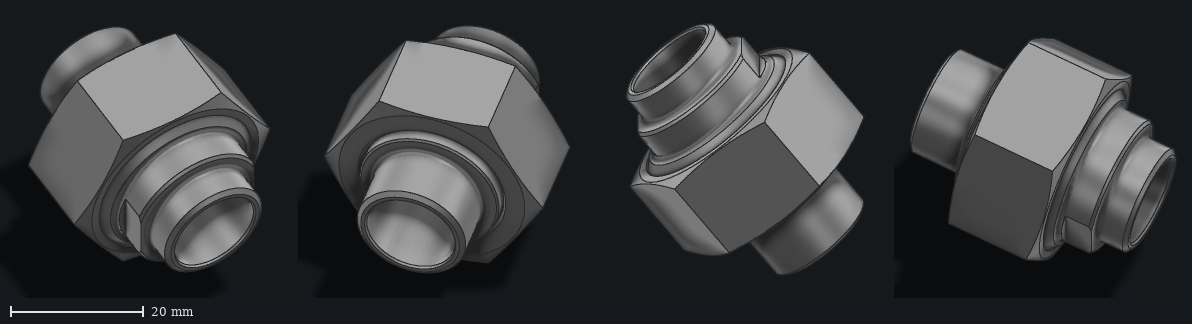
import cadquery as cq
import math

total_length = 37.0
bore_radius = 14.0 / 2
bore_mouth_radius = 14.43 / 2
bore_chamfer_depth = 0.37
pipe_radius = 17.2 / 2
pipe_chamfer_length = 0.6
pipe_chamfer_height = 0.78
fillet_radius = 1.0

collar_start = 9.1
collar_radius = 22.0 / 2
collar_chamfer = 0.3
flange_radius = 25.4 / 2
flange_thickness = 3.0

nut_start = 10.5
nut_length = 15.0
nut_end = nut_start + nut_length
across_flats = 30.0
across_corners = across_flats / math.cos(math.radians(30))
nut_face_radius = 29.45 / 2
corner_chamfer_depth = 0.9
nut_hole_radius = 22.5 / 2
nut_mouth_chamfer = 0.48
nut_wall = 3.0
thread_radius = 26.85 / 2

flange_start = nut_start + nut_wall
flange_end = flange_start + flange_thickness
rim_end = 26.53
rim_radius = 12.05
rim_chamfer = thread_radius - rim_radius

shoulder_end = 31.9
shoulder_radius = 22.0 / 2
shoulder_chamfer = 0.45
shoulder_fillet = 0.9
spigot_fillet = 0.9
wrench_width = 20.0
wrench_flat_start = 27.55
wrench_run_in = 0.25


def revolve_around_x(profile):
    return profile.close().revolve(360, (0, 0, 0), (1, 0, 0))


def concave_fillet(profile, corner_x, corner_radius, size, side):
    """From the current point, add a concave quarter arc at an inner corner.

    side is -1 when the smaller cylinder lies toward -X, where the arc ends on the wall,
    and +1 when it lies toward +X, where the arc ends on the cylinder.
    """
    center_x = corner_x + side * size
    center_radius = corner_radius + size
    reach = size * math.sqrt(0.5)
    middle = (center_x - side * reach, center_radius - reach)
    on_cylinder = (center_x, corner_radius)
    on_wall = (corner_x, center_radius)
    return profile.threePointArc(middle, on_wall if side < 0 else on_cylinder)


def make_tailpiece():
    profile = (
        cq.Workplane("XY")
        .moveTo(0, bore_mouth_radius)
        .lineTo(0, pipe_radius - pipe_chamfer_height)
        .lineTo(pipe_chamfer_length, pipe_radius)
        .lineTo(collar_start - fillet_radius, pipe_radius)
    )
    profile = concave_fillet(profile, collar_start, pipe_radius, fillet_radius, -1)
    profile = (
        profile.lineTo(collar_start, collar_radius - collar_chamfer)
        .lineTo(collar_start + collar_chamfer, collar_radius)
        .lineTo(flange_start, collar_radius)
        .lineTo(flange_start, flange_radius)
        .lineTo(flange_end, flange_radius)
        .lineTo(flange_end, bore_radius)
        .lineTo(bore_chamfer_depth, bore_radius)
    )
    return revolve_around_x(profile)


def make_nut():
    hexagon = (
        cq.Workplane("YZ", origin=(nut_start, 0, 0))
        .polygon(6, across_corners)
        .extrude(nut_length)
    )
    corner_radius = across_corners / 2
    corner_chamfers = revolve_around_x(
        cq.Workplane("XY")
        .moveTo(nut_start, 0)
        .lineTo(nut_start, nut_face_radius)
        .lineTo(nut_start + corner_chamfer_depth, corner_radius)
        .lineTo(nut_end - corner_chamfer_depth, corner_radius)
        .lineTo(nut_end, nut_face_radius)
        .lineTo(nut_end, 0)
    )
    hole = revolve_around_x(
        cq.Workplane("XY")
        .moveTo(nut_start, 0)
        .lineTo(nut_start, nut_hole_radius + nut_mouth_chamfer)
        .lineTo(nut_start + nut_mouth_chamfer, nut_hole_radius)
        .lineTo(flange_start, nut_hole_radius)
        .lineTo(flange_start, thread_radius)
        .lineTo(nut_end, thread_radius)
        .lineTo(nut_end, 0)
    )
    return hexagon.intersect(corner_chamfers).cut(hole)


def make_wrench_flat_cut(side):
    """Material to remove for one flat on the shoulder; side is +1 for +Y or -1 for -Y."""
    flat_y = wrench_width / 2
    return (
        cq.Workplane("XY")
        .moveTo(wrench_flat_start, side * flat_y)
        .lineTo(shoulder_end, side * flat_y)
        .lineTo(shoulder_end, side * shoulder_radius)
        .lineTo(wrench_flat_start - wrench_run_in, side * shoulder_radius)
        .close()
        .extrude(shoulder_radius, both=True)
    )


def make_body():
    profile = (
        cq.Workplane("XY")
        .moveTo(flange_end, bore_radius)
        .lineTo(flange_end, thread_radius)
        .lineTo(rim_end - rim_chamfer, thread_radius)
        .lineTo(rim_end, rim_radius)
        .lineTo(rim_end, shoulder_radius + shoulder_fillet)
    )
    profile = concave_fillet(profile, rim_end, shoulder_radius, shoulder_fillet, 1)
    profile = (
        profile.lineTo(shoulder_end - shoulder_chamfer, shoulder_radius)
        .lineTo(shoulder_end, shoulder_radius - shoulder_chamfer)
        .lineTo(shoulder_end, pipe_radius + spigot_fillet)
    )
    profile = concave_fillet(profile, shoulder_end, pipe_radius, spigot_fillet, 1)
    profile = (
        profile.lineTo(total_length - pipe_chamfer_length, pipe_radius)
        .lineTo(total_length, pipe_radius - pipe_chamfer_height)
        .lineTo(total_length, bore_mouth_radius)
        .lineTo(total_length - bore_chamfer_depth, bore_radius)
    )
    body = revolve_around_x(profile)
    for side in (1, -1):
        body = body.cut(make_wrench_flat_cut(side))
    return body


tailpiece = make_tailpiece()
nut = make_nut()
body = make_body()
result = cq.Compound.makeCompound([tailpiece.val(), nut.solids().val(), body.solids().val()])